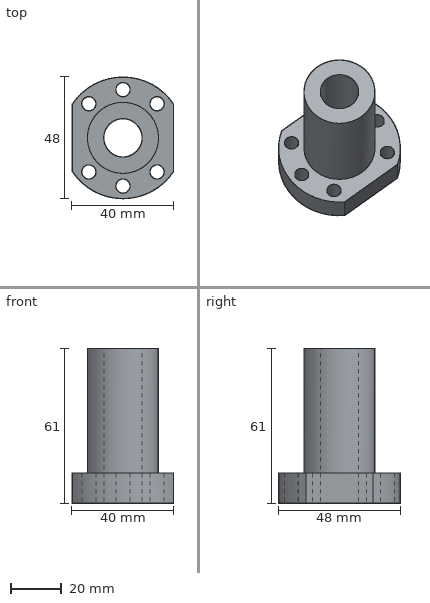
import cadquery as cq

total_height = 61.0
flange_diameter = 48.0
flange_width = 40.0
flange_thickness = 12.0
tube_diameter = 28.0
bore_diameter = 15.0
bolt_hole_diameter = 5.5
bolt_circle_diameter = 38.0
bolt_angles = (45, 90, 135)


def make_flange():
    """Round flange with two flats parallel to the YZ plane."""
    disc = cq.Workplane("XY").circle(flange_diameter / 2).extrude(flange_thickness)
    trim = cq.Workplane("XY").rect(flange_width, flange_diameter).extrude(flange_thickness)
    return disc.intersect(trim)


def make_tube():
    """Cylindrical body rising from the underside of the flange."""
    return cq.Workplane("XY").circle(tube_diameter / 2).extrude(total_height)


def make_bore():
    """Through bore along the axis."""
    return cq.Workplane("XY").circle(bore_diameter / 2).extrude(total_height)


def make_bolt_holes():
    """Two opposite groups of three through holes on the bolt circle."""
    holes = cq.Workplane("XY")
    for side in (0, 180):
        for angle in bolt_angles:
            hole = (
                cq.Workplane("XY")
                .center(bolt_circle_diameter / 2, 0)
                .circle(bolt_hole_diameter / 2)
                .extrude(flange_thickness)
                .rotate((0, 0, 0), (0, 0, 1), side + angle)
            )
            holes = holes.add(hole)
    return holes.combine()


result = make_flange().union(make_tube()).cut(make_bore()).cut(make_bolt_holes())